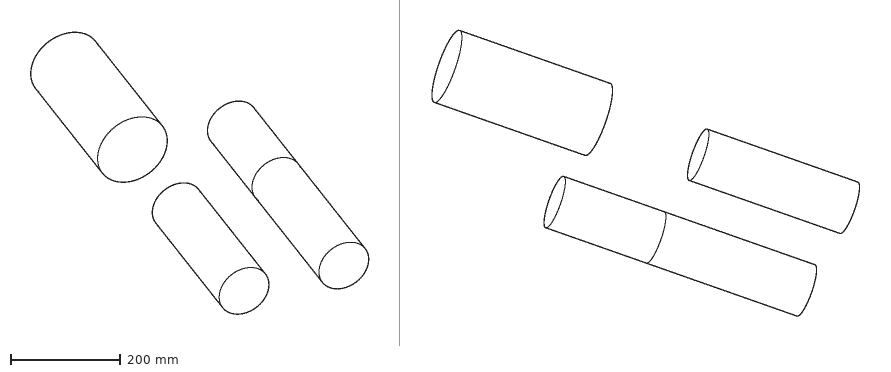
import cadquery as cq

drum_diameter = 140.0
rod_diameter = 100.0
drum_length = 300.0
short_rod_length = 200.0
long_rod_length = 300.0
row_spacing = 200.0

front_row_y = 0.0
rear_row_y = front_row_y + row_spacing

drum_start = 0.0
short_rod_start = drum_start + drum_length
long_rod_start = short_rod_start + short_rod_length


def x_cylinder(diameter, length, start_x, center_y):
    """Solid cylinder running in +X from start_x."""
    return (
        cq.Workplane("YZ", origin=(start_x, center_y, 0))
        .circle(diameter / 2)
        .extrude(length)
    )


def make_drum():
    """Thick cylinder at the -X end of the front row."""
    return x_cylinder(drum_diameter, drum_length, drum_start, front_row_y)


def make_short_rod():
    """Short rod of the rear row, touching the long rod end to end."""
    return x_cylinder(rod_diameter, short_rod_length, short_rod_start, rear_row_y)


def make_long_rod(center_y):
    """Long rod at the +X end of a row."""
    return x_cylinder(rod_diameter, long_rod_length, long_rod_start, center_y)


drum = make_drum()
short_rod = make_short_rod()
long_rods = [make_long_rod(row_y) for row_y in (front_row_y, rear_row_y)]

result = cq.Compound.makeCompound(
    [drum.val(), short_rod.val(), *[rod.val() for rod in long_rods]]
)